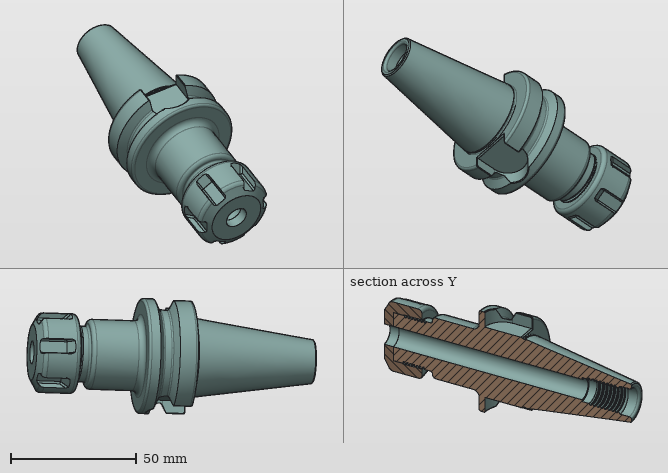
import cadquery as cq
import math

EDGE_MARGIN = 0.1
CUT_MARGIN = 1.1

TOTAL_LENGTH = 114.0
TAPER_END = 48.9
FLANGE_START = 50.3
GROOVE_TOP_START = 57.9
GROOVE_FLOOR_START = 60.2
GROOVE_FLOOR_END = 63.7
GROOVE_TOP_END = 65.8
FLANGE_END = 70.4
BODY_END = 91.9
NUT_START = 96.5
SPIGOT_END = 109.8

TAPER_TIP_RADIUS = 8.8
TAPER_RATE = 7 / 24 / 2
TIP_CHAMFER = 0.5
RELIEF_RADIUS = 15.6
RELIEF_FILLET = 0.5
FLANGE_RADIUS = 23.0
FLANGE_EDGE = 1.0
GROOVE_RADIUS = 19.1
GROOVE_FILLET = 0.8
BODY_RADIUS = 14.0
BODY_ROOT_FILLET = 2.6
BODY_END_FILLET = 1.7
NECK_RADIUS = 11.2
NECK_FILLET = 0.9

KEY_FLOOR = 16.2
KEY_HALF_WIDTH = 8.1
KEY_TIP = 67.6
KEY_FLOOR_CHAMFER_LENGTH = 0.7
KEY_FLOOR_CHAMFER_DROP = 0.3
KEY_RIM_CHAMFER = 0.3

BORE_RADIUS = 4.6
PILOT_RADIUS = 6.3
PILOT_DEPTH = 5.2
PILOT_MOUTH_FILLET = 1.0
THREAD_HOLE_RADIUS = 5.4
THREAD_HOLE_DEPTH = 22.8

SPIGOT_THREAD_PITCH = 1.5
SPIGOT_THREAD_DEPTH = 0.9
SPIGOT_THREAD_START = 95.3
SPIGOT_THREAD_TURNS = 7
BORE_THREAD_PITCH = 1.7
BORE_THREAD_DEPTH = 0.7
BORE_THREAD_TURNS = 8
THREAD_OVERCUT = 0.2
THREAD_CREST_FRACTION = 0.9
THREAD_ROOT_FRACTION = 0.25

NUT_RADIUS = 16.0
NUT_BACK_FILLET = 1.7
NUT_NOSE_RADIUS = 11.2
NUT_CONE_ANGLE = 60.0
NUT_NOSE_FILLET = 2.0

SLOT_COUNT = 6
SLOT_WIDTH = 5.9
SLOT_FLOOR = 12.9
SLOT_FLOOR_CHAMFER = 0.7
SLOT_UPPER_START = 99.0
SLOT_LOWER_START = 100.1


def cylinder(start, end, radius):
    """Cylinder on the X axis."""
    return cq.Workplane("YZ", origin=(start, 0, 0)).circle(radius).extrude(end - start)


def ring_selector(start, end, radius):
    """Select edges that lie between two X stations and within a radius of the axis."""
    reach = radius + EDGE_MARGIN
    return cq.selectors.BoxSelector(
        (start - EDGE_MARGIN, -reach, -reach),
        (end + EDGE_MARGIN, reach, reach),
        boundingbox=True,
    )


def make_holder_blank():
    """Taper, grooved flange, body and spigot turned about the X axis."""
    taper_end_radius = TAPER_TIP_RADIUS + TAPER_RATE * TAPER_END
    body_start = FLANGE_END + BODY_ROOT_FILLET
    profile = (
        cq.Workplane("XY")
        .moveTo(0, 0)
        .lineTo(0, TAPER_TIP_RADIUS - TIP_CHAMFER)
        .lineTo(TIP_CHAMFER, TAPER_TIP_RADIUS + TAPER_RATE * TIP_CHAMFER)
        .lineTo(TAPER_END, taper_end_radius)
        .lineTo(TAPER_END + (taper_end_radius - RELIEF_RADIUS), RELIEF_RADIUS)
        .lineTo(FLANGE_START - RELIEF_FILLET, RELIEF_RADIUS)
        .radiusArc((FLANGE_START, RELIEF_RADIUS + RELIEF_FILLET), -RELIEF_FILLET)
        .lineTo(FLANGE_START, FLANGE_RADIUS - FLANGE_EDGE)
        .radiusArc((FLANGE_START + FLANGE_EDGE, FLANGE_RADIUS), FLANGE_EDGE)
        .lineTo(GROOVE_TOP_START, FLANGE_RADIUS)
        .lineTo(GROOVE_FLOOR_START, GROOVE_RADIUS)
        .lineTo(GROOVE_FLOOR_END, GROOVE_RADIUS)
        .lineTo(GROOVE_TOP_END, FLANGE_RADIUS)
        .lineTo(FLANGE_END - FLANGE_EDGE, FLANGE_RADIUS)
        .radiusArc((FLANGE_END, FLANGE_RADIUS - FLANGE_EDGE), FLANGE_EDGE)
        .lineTo(FLANGE_END, BODY_RADIUS + BODY_ROOT_FILLET)
        .radiusArc((body_start, BODY_RADIUS), -BODY_ROOT_FILLET)
        .lineTo(BODY_END - BODY_END_FILLET, BODY_RADIUS)
        .radiusArc((BODY_END, BODY_RADIUS - BODY_END_FILLET), BODY_END_FILLET)
        .lineTo(BODY_END, NECK_RADIUS + NECK_FILLET)
        .radiusArc((BODY_END + NECK_FILLET, NECK_RADIUS), -NECK_FILLET)
        .lineTo(SPIGOT_END, NECK_RADIUS)
        .lineTo(SPIGOT_END, 0)
        .close()
    )
    blank = profile.revolve(360, (0, 0, 0), (1, 0, 0))
    groove_floor_edges = ring_selector(GROOVE_FLOOR_START, GROOVE_FLOOR_END, GROOVE_RADIUS)
    return blank.edges(groove_floor_edges).edges("%CIRCLE").fillet(GROOVE_FILLET)


def make_bore():
    """Through bore with a rounded pilot and a smaller threaded-hole diameter behind it."""
    pilot_mouth_radius = PILOT_RADIUS + PILOT_MOUTH_FILLET
    cone_length = PILOT_RADIUS - THREAD_HOLE_RADIUS
    return (
        cq.Workplane("XY")
        .moveTo(0, 0)
        .lineTo(0, pilot_mouth_radius)
        .radiusArc((PILOT_MOUTH_FILLET, PILOT_RADIUS), -PILOT_MOUTH_FILLET)
        .lineTo(PILOT_DEPTH, PILOT_RADIUS)
        .lineTo(PILOT_DEPTH + cone_length, THREAD_HOLE_RADIUS)
        .lineTo(THREAD_HOLE_DEPTH, THREAD_HOLE_RADIUS)
        .lineTo(THREAD_HOLE_DEPTH, BORE_RADIUS)
        .lineTo(TOTAL_LENGTH, BORE_RADIUS)
        .lineTo(TOTAL_LENGTH, 0)
        .close()
        .revolve(360, (0, 0, 0), (1, 0, 0))
    )


def make_keyway():
    """Cutter for one round-ended keyway, open toward the taper, on the +Z side."""
    arc_center = KEY_TIP - KEY_HALF_WIDTH
    slot = (
        cq.Workplane("XY", origin=(0, 0, KEY_FLOOR))
        .moveTo(FLANGE_START - CUT_MARGIN, -KEY_HALF_WIDTH)
        .lineTo(arc_center, -KEY_HALF_WIDTH)
        .threePointArc((KEY_TIP, 0), (arc_center, KEY_HALF_WIDTH))
        .lineTo(FLANGE_START - CUT_MARGIN, KEY_HALF_WIDTH)
        .close()
        .extrude(FLANGE_RADIUS - KEY_FLOOR + CUT_MARGIN)
    )
    floor_chamfer = (
        cq.Workplane("XZ", origin=(0, KEY_HALF_WIDTH, 0))
        .moveTo(FLANGE_START, KEY_FLOOR)
        .lineTo(FLANGE_START + KEY_FLOOR_CHAMFER_LENGTH, KEY_FLOOR)
        .lineTo(FLANGE_START, KEY_FLOOR - KEY_FLOOR_CHAMFER_DROP)
        .close()
        .extrude(2 * KEY_HALF_WIDTH)
    )
    return slot.union(floor_chamfer)


def make_thread_groove(start, pitch, turns, crest_radius, root_radius, left_hand):
    """V groove wound around the X axis, its first turn starting at the top."""
    overcut = math.copysign(THREAD_OVERCUT, crest_radius - root_radius)
    crest_half_width = THREAD_CREST_FRACTION * pitch / 2
    root_half_width = THREAD_ROOT_FRACTION * pitch / 2
    helix = cq.Wire.makeHelix(pitch, pitch * turns, crest_radius, lefthand=left_hand)
    groove = (
        cq.Workplane("XZ")
        .moveTo(root_radius, -root_half_width)
        .lineTo(crest_radius + overcut, -crest_half_width)
        .lineTo(crest_radius + overcut, crest_half_width)
        .lineTo(root_radius, root_half_width)
        .close()
        .sweep(cq.Workplane(obj=helix), isFrenet=True)
    )
    axis_frame = cq.Plane(origin=(start, 0, 0), xDir=(0, 0, 1), normal=(1, 0, 0))
    return cq.Workplane(obj=groove.val().moved(cq.Location(axis_frame)))


def make_spigot_thread():
    """External thread that screws into the nut."""
    return make_thread_groove(
        SPIGOT_THREAD_START,
        SPIGOT_THREAD_PITCH,
        SPIGOT_THREAD_TURNS,
        NECK_RADIUS,
        NECK_RADIUS - SPIGOT_THREAD_DEPTH,
        left_hand=True,
    )


def make_bore_thread():
    """Internal thread behind the pilot bore."""
    return make_thread_groove(
        PILOT_DEPTH + BORE_THREAD_PITCH / 2,
        BORE_THREAD_PITCH,
        BORE_THREAD_TURNS,
        THREAD_HOLE_RADIUS,
        THREAD_HOLE_RADIUS + BORE_THREAD_DEPTH,
        left_hand=False,
    )


def chamfer_keyway_rims(holder):
    """Break the edges where the keyways run out through the flange rim."""
    wall_x = (FLANGE_START + GROOVE_TOP_START) / 2
    wall_z = math.sqrt(FLANGE_RADIUS**2 - KEY_HALF_WIDTH**2)
    rims = []
    for side in (1, -1):
        rims.append((wall_x, KEY_HALF_WIDTH, side * wall_z))
        rims.append((wall_x, -KEY_HALF_WIDTH, side * wall_z))
        rims.append((KEY_TIP, 0, side * FLANGE_RADIUS))
    for rim in rims:
        holder = holder.edges(cq.selectors.NearestToPointSelector(rim)).chamfer(KEY_RIM_CHAMFER)
    return holder


def make_holder():
    """Tool holder: taper, flange with two keyways, body and threaded spigot."""
    holder = make_holder_blank().cut(make_bore())
    keyway = make_keyway()
    for angle in (0, 180):
        holder = holder.cut(keyway.rotate((0, 0, 0), (1, 0, 0), angle))
    holder = chamfer_keyway_rims(holder)
    return holder.cut(make_spigot_thread()).cut(make_bore_thread())


def make_nut_blank():
    """Round nut with a rounded back edge and a conical nose."""
    cone_length = (NUT_RADIUS - NUT_NOSE_RADIUS) / math.tan(math.radians(NUT_CONE_ANGLE))
    cone_start = TOTAL_LENGTH - cone_length
    blank = (
        cq.Workplane("XY")
        .moveTo(NUT_START, 0)
        .lineTo(NUT_START, NUT_RADIUS)
        .lineTo(cone_start, NUT_RADIUS)
        .lineTo(TOTAL_LENGTH, NUT_NOSE_RADIUS)
        .lineTo(TOTAL_LENGTH, 0)
        .close()
        .revolve(360, (0, 0, 0), (1, 0, 0))
    )
    blank = blank.faces("<X").edges().fillet(NUT_BACK_FILLET)
    cone_edge = ring_selector(cone_start, cone_start, NUT_RADIUS)
    return blank.edges(cone_edge).fillet(NUT_NOSE_FILLET)


def make_slot(start):
    """Cutter for one wrench slot on the +Y side, with a 45 degree ramp at its closed end."""
    cutter_top = NUT_RADIUS + CUT_MARGIN
    ramp_top_start = start - (cutter_top - NUT_RADIUS)
    ramp_end = ramp_top_start + (cutter_top - SLOT_FLOOR)
    slot = (
        cq.Workplane("XY", origin=(0, 0, -SLOT_WIDTH / 2))
        .moveTo(ramp_top_start, cutter_top)
        .lineTo(ramp_end, SLOT_FLOOR)
        .lineTo(TOTAL_LENGTH + CUT_MARGIN, SLOT_FLOOR)
        .lineTo(TOTAL_LENGTH + CUT_MARGIN, cutter_top)
        .close()
        .extrude(SLOT_WIDTH)
    )
    floor_edges = slot.faces("<Y").edges("|X")
    ramp_edges = slot.faces("<X").edges("not |Z")
    return floor_edges.add(ramp_edges).chamfer(SLOT_FLOOR_CHAMFER)


def make_nut():
    """Clamping nut: a cap over the spigot with wrench slots around it."""
    nut = make_nut_blank()
    nut = nut.cut(cylinder(NUT_START, SPIGOT_END, NECK_RADIUS))
    nut = nut.cut(cylinder(NUT_START, TOTAL_LENGTH, BORE_RADIUS))
    for index in range(SLOT_COUNT):
        start = SLOT_UPPER_START if index < SLOT_COUNT / 2 else SLOT_LOWER_START
        angle = index * 360 / SLOT_COUNT
        nut = nut.cut(make_slot(start).rotate((0, 0, 0), (1, 0, 0), angle))
    return nut


holder = make_holder()
nut = make_nut()
result = cq.Compound.makeCompound([holder.solids().val(), nut.solids().val()])